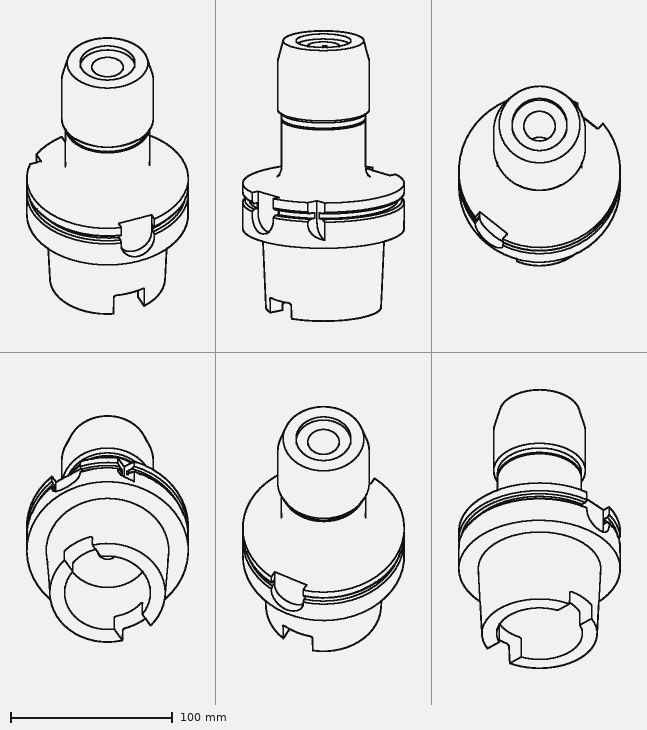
import cadquery as cq
import math

total_height = 170.0
shank_height = 50.2
flange_top = 79.0
groove_bottom = 68.2
groove_top = 71.7
neck_groove_bottom = 119.7
neck_groove_top = 120.7
head_bottom = 124.1
nose_bottom = 157.0

shank_end_radius = 35.7
shank_top_radius = 37.9
flange_radius = 50.0
groove_radius = 45.9
neck_radius = 26.0
head_radius = 28.4
nose_radius = 25.0

groove_chamfer = 1.4
neck_groove_depth = neck_groove_top - neck_groove_bottom
head_chamfer_height = 1.9
neck_fillet = 10.0

recess_radius = 17.0
recess_depth = 3.2
tool_bore_radius = 9.7
tool_bore_depth = 51.0
through_radius = 6.1
shank_bore_radius = 26.5
shank_bore_depth = shank_height

channel_radius = 1.2
channel_cover = 2.5
channel_angle = math.radians(45)

drive_floor = 44.2
left_drive_half_width = 10.2
right_drive_half_width = 11.0
slot_round_height = 65.1

notch_wall = 31.5
notch_round_radius = 10.2

key_half_width = 10.2
key_corner_radius = 1.5
left_key_height = 9.9
right_key_height = 15.0


def turned_body():
    """Revolved outline of shank, gripper flange, neck and clamping head."""
    chamfered_flange_radius = flange_radius - groove_chamfer
    fillet_sag = neck_fillet * (1 - math.cos(math.radians(45)))
    outline = (
        cq.Workplane("XZ")
        .moveTo(0, 0)
        .lineTo(shank_end_radius, 0)
        .lineTo(shank_top_radius, shank_height)
        .lineTo(flange_radius, shank_height)
        .lineTo(flange_radius, groove_bottom - groove_chamfer)
        .lineTo(chamfered_flange_radius, groove_bottom)
        .lineTo(groove_radius, groove_bottom)
        .lineTo(groove_radius, groove_top)
        .lineTo(chamfered_flange_radius, groove_top)
        .lineTo(flange_radius, groove_top + groove_chamfer)
        .lineTo(flange_radius, flange_top)
        .lineTo(neck_radius + neck_fillet, flange_top)
        .threePointArc(
            (neck_radius + fillet_sag, flange_top + fillet_sag),
            (neck_radius, flange_top + neck_fillet),
        )
        .lineTo(neck_radius, neck_groove_bottom)
        .lineTo(neck_radius - neck_groove_depth, neck_groove_bottom)
        .lineTo(neck_radius, neck_groove_top)
        .lineTo(neck_radius, head_bottom)
        .lineTo(head_radius, head_bottom + head_chamfer_height)
        .lineTo(head_radius, nose_bottom)
        .lineTo(nose_radius, total_height)
        .lineTo(0, total_height)
        .close()
    )
    return outline.revolve(360, (0, 0, 0), (0, 1, 0))


def upright_cylinder(radius, bottom, top, x=0, y=0):
    """Cylinder parallel to Z between two heights."""
    return cq.Workplane("XY", origin=(x, y, bottom)).circle(radius).extrude(top - bottom)


def central_bores():
    """Stepped tool bore from the top, through hole and hollow shank."""
    recess_floor = total_height - recess_depth
    tool_bore_floor = recess_floor - tool_bore_depth
    channel = upright_cylinder(
        channel_radius,
        tool_bore_floor,
        recess_floor - channel_cover,
        tool_bore_radius * math.cos(channel_angle),
        tool_bore_radius * math.sin(channel_angle),
    )
    return (
        upright_cylinder(through_radius, 0, total_height)
        .union(upright_cylinder(shank_bore_radius, 0, shank_bore_depth))
        .union(upright_cylinder(tool_bore_radius, tool_bore_floor, total_height))
        .union(upright_cylinder(recess_radius, recess_floor, total_height))
        .union(channel)
    )


def round_bottom_slot(x_start, x_end, y_center, half_width):
    """Cutter running along X, open at the flange top, with a round lower end."""
    return (
        cq.Workplane("YZ", origin=(x_start, 0, 0))
        .moveTo(y_center - half_width, flange_top)
        .lineTo(y_center - half_width, slot_round_height)
        .threePointArc(
            (y_center, slot_round_height - half_width),
            (y_center + half_width, slot_round_height),
        )
        .lineTo(y_center + half_width, flange_top)
        .close()
        .extrude(x_end - x_start)
    )


def key_slot(side, height):
    """Cutter through the shank wall on one X side, with rounded upper corners."""
    return (
        cq.Workplane("XY")
        .box(shank_top_radius, 2 * key_half_width, height, centered=(False, True, False))
        .edges("|X and >Z")
        .fillet(key_corner_radius)
        .rotate((0, 0, 0), (0, 0, 1), 0 if side > 0 else 180)
    )


left_drive_slot = round_bottom_slot(-flange_radius, -drive_floor, 0, left_drive_half_width)
right_drive_slot = round_bottom_slot(drive_floor, flange_radius, 0, right_drive_half_width)
orientation_notch = round_bottom_slot(
    -flange_radius, -notch_wall, -notch_wall - notch_round_radius, notch_round_radius
)

result = (
    turned_body()
    .cut(central_bores())
    .cut(left_drive_slot)
    .cut(right_drive_slot)
    .cut(orientation_notch)
    .cut(key_slot(-1, left_key_height))
    .cut(key_slot(1, right_key_height))
)